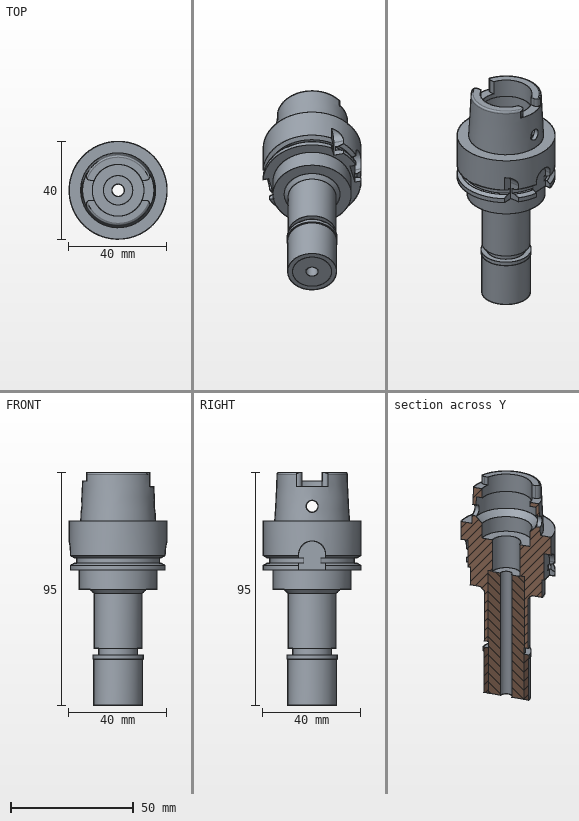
import cadquery as cq
import math


shank_height = 19.9
shank_base_radius = 15.3
taper_ratio = 0.05
shank_top_fillet = 0.9
shank_bore_radius = 10.5
shank_bore_depth = 25.65
undercut_radius = 13.1
undercut_top_depth = 7.8
undercut_bottom_depth = 16.5
coolant_bore_radius = 6.0
radial_hole_radius = 2.4
radial_hole_height = 6.0

drive_slot_width = 8.2
drive_slot_corner_radius = 1.6
drive_slot_depth_minus_x = 3.5
drive_slot_depth_plus_x = 5.8

flange_radius = 20.0
flange_bottom = -20.0
groove_top = -14.1
groove_bottom = -18.1
groove_radius = 17.3
groove_lip_radius = 18.3
groove_slope_height = (flange_radius - groove_lip_radius) / math.tan(math.radians(60))

notch_top = -8.2
notch_floor_distance = 16.9
notch_width_minus_x = 8.9
notch_width_plus_x = 11.0
corner_notch_wall_x = -12.0
corner_notch_edge_y = 11.9
corner_notch_radius = 4.2

collar_radius = 16.0
collar_bottom = -27.9
sleeve_radius = 9.8
sleeve_cone_height = 1.6
sleeve_bottom = -52.0

spindle_radius = 8.0
spindle_top = flange_bottom
spindle_bore_radius = 2.5
tool_end = shank_height - 95.0

ring_radius = 10.0
ring_top = -54.6
ring_lip_radius = 10.3
ring_lip_bottom = -56.2


def cylinder(radius, bottom, top):
    """Vertical cylinder on the Z axis between two heights."""
    return cq.Workplane("XY").workplane(offset=bottom).circle(radius).extrude(top - bottom)


def box_between(x_range, y_range, z_range):
    """Axis-aligned box given by its lower and upper limits."""
    size = [high - low for low, high in (x_range, y_range, z_range)]
    corner = (x_range[0], y_range[0], z_range[0])
    return cq.Workplane("XY").box(*size, centered=False).translate(corner)


def make_holder_blank():
    """Outer revolved shape: sleeve, collar, grooved flange."""
    outline = [
        (0, sleeve_bottom),
        (sleeve_radius, sleeve_bottom),
        (sleeve_radius, collar_bottom - sleeve_cone_height),
        (sleeve_radius + sleeve_cone_height, collar_bottom),
        (collar_radius, collar_bottom),
        (collar_radius, flange_bottom),
        (flange_radius, flange_bottom),
        (flange_radius, groove_bottom),
        (groove_lip_radius, groove_bottom + groove_slope_height),
        (groove_radius, groove_bottom + groove_slope_height),
        (groove_radius, groove_top - groove_slope_height),
        (groove_lip_radius, groove_top - groove_slope_height),
        (flange_radius, groove_top),
        (flange_radius, 0),
        (0, 0),
    ]
    return cq.Workplane("XZ").polyline(outline).close().revolve(360, (0, 0, 0), (0, 1, 0))


def make_shank():
    """Solid taper with a rounded rim and the two drive slots."""
    top_radius = shank_base_radius - taper_ratio * shank_height
    outline = [
        (0, 0),
        (shank_base_radius, 0),
        (top_radius, shank_height),
        (0, shank_height),
    ]
    shank = cq.Workplane("XZ").polyline(outline).close().revolve(360, (0, 0, 0), (0, 1, 0))
    shank = shank.faces(">Z").edges().fillet(shank_top_fillet)
    for side, depth in ((-1, drive_slot_depth_minus_x), (1, drive_slot_depth_plus_x)):
        shank = shank.cut(drive_slot(side, depth, top_radius))
    return shank


def drive_slot(side, depth, rim_radius):
    """Radial slot that flares outward through rounded corners."""
    half_width = drive_slot_width / 2
    corner_y = half_width + drive_slot_corner_radius
    corner_reach = rim_radius - drive_slot_corner_radius
    corner_x = math.sqrt(corner_reach**2 - corner_y**2)
    corner_angle = math.atan2(corner_y, corner_x)
    tangent_x = rim_radius * math.cos(corner_angle)
    tangent_y = rim_radius * math.sin(corner_angle)
    middle_angle = (corner_angle - math.pi / 2) / 2
    middle_x = corner_x + drive_slot_corner_radius * math.cos(middle_angle)
    middle_y = corner_y + drive_slot_corner_radius * math.sin(middle_angle)
    outer_x = shank_base_radius
    slot = (
        cq.Workplane("XY")
        .workplane(offset=shank_height - depth)
        .moveTo(0, -half_width)
        .lineTo(corner_x, -half_width)
        .threePointArc((middle_x, -middle_y), (tangent_x, -tangent_y))
        .lineTo(outer_x, -tangent_y)
        .lineTo(outer_x, tangent_y)
        .lineTo(tangent_x, tangent_y)
        .threePointArc((middle_x, middle_y), (corner_x, half_width))
        .lineTo(0, half_width)
        .close()
        .extrude(depth)
    )
    return slot if side > 0 else slot.mirror("YZ")


def shank_cavity():
    """Clamping bore with its undercut, and the coolant bore below it."""
    floor = shank_height - shank_bore_depth
    undercut_top = shank_height - undercut_top_depth
    undercut_bottom = shank_height - undercut_bottom_depth
    cone_height = undercut_radius - shank_bore_radius
    outline = [
        (0, spindle_top),
        (coolant_bore_radius, spindle_top),
        (coolant_bore_radius, floor),
        (shank_bore_radius, floor),
        (shank_bore_radius, undercut_bottom - cone_height),
        (undercut_radius, undercut_bottom),
        (undercut_radius, undercut_top),
        (shank_bore_radius, undercut_top),
        (shank_bore_radius, shank_height),
        (0, shank_height),
    ]
    return cq.Workplane("XZ").polyline(outline).close().revolve(360, (0, 0, 0), (0, 1, 0))


def radial_holes():
    """Cross hole through both walls of the shank, along X."""
    length = 2 * shank_base_radius
    return (
        cq.Workplane("YZ")
        .workplane(offset=-shank_base_radius)
        .center(0, radial_hole_height)
        .circle(radial_hole_radius)
        .extrude(length)
    )


def round_top_cutter(center_y, width, x_range):
    """Cutter along X: straight sides, rounded top, open at the flange bottom."""
    radius = width / 2
    arc_height = notch_top - radius
    straight = box_between(
        x_range, (center_y - radius, center_y + radius), (flange_bottom, arc_height)
    )
    top = (
        cq.Workplane("YZ")
        .workplane(offset=x_range[0])
        .center(center_y, arc_height)
        .circle(radius)
        .extrude(x_range[1] - x_range[0])
    )
    return straight.union(top)


def cut_flange_notches(holder):
    """Key notches on -X and +X, and the corner notch towards -X +Y."""
    holder = holder.cut(round_top_cutter(0, notch_width_minus_x, (-flange_radius, -notch_floor_distance)))
    holder = holder.cut(round_top_cutter(0, notch_width_plus_x, (notch_floor_distance, flange_radius)))
    corner_center_y = corner_notch_edge_y + corner_notch_radius
    corner_range = (-flange_radius, corner_notch_wall_x)
    return holder.cut(round_top_cutter(corner_center_y, 2 * corner_notch_radius, corner_range))


def make_holder():
    holder = make_holder_blank().union(make_shank())
    holder = holder.cut(shank_cavity()).cut(radial_holes())
    holder = cut_flange_notches(holder)
    return holder.cut(cylinder(spindle_radius, sleeve_bottom, spindle_top))


def make_spindle():
    """Tube seated in the sleeve, carrying the lock ring on its lower end."""
    tube = cylinder(spindle_radius, tool_end, spindle_top)
    return tube.cut(cylinder(spindle_bore_radius, tool_end, spindle_top))


def make_lock_ring():
    """Ring around the spindle, with a bevelled lip at its top."""
    bevel = ring_lip_radius - ring_radius
    outline = [
        (spindle_radius, tool_end),
        (ring_radius, tool_end),
        (ring_radius, ring_lip_bottom - bevel),
        (ring_lip_radius, ring_lip_bottom),
        (ring_lip_radius, ring_top),
        (spindle_radius, ring_top),
    ]
    return cq.Workplane("XZ").polyline(outline).close().revolve(360, (0, 0, 0), (0, 1, 0))


holder = make_holder()
spindle = make_spindle()
lock_ring = make_lock_ring()

result = cq.Compound.makeCompound([holder.val(), spindle.val(), lock_ring.val()])